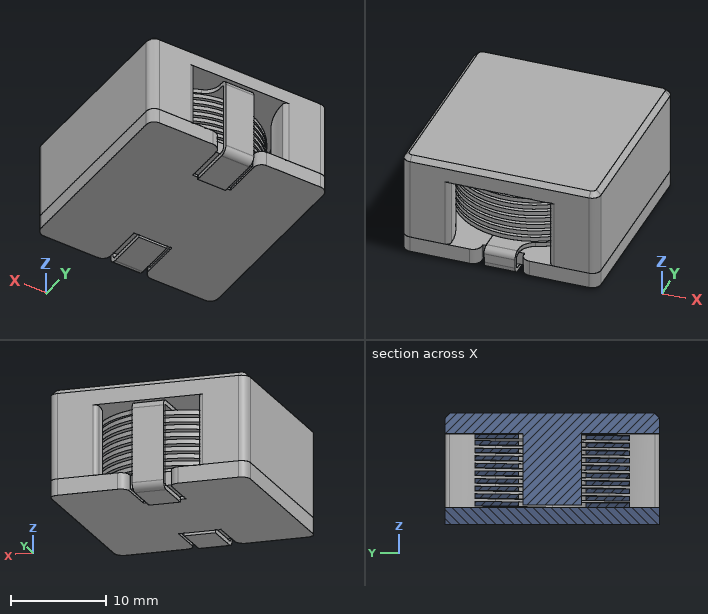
import cadquery as cq
import math

WIDTH = 22.0
DEPTH = 22.5
HEIGHT = 12.0
CORNER_RADIUS = 1.0
TOP_CHAMFER = 0.55

PLATE_BOTTOM = 0.3
PLATE_TOP = 2.1
NOTCH_WIDTH = 4.68
NOTCH_DEPTH = 1.25
NOTCH_EDGE_RADIUS = 1.0

CAVITY_TOP = 9.8
CAVITY_RADIUS = 9.4
POST_DIAMETER = 9.4
POST_GAP = 0.25
THROAT_WIDTH = 11.15
OPENING_EDGE_RADIUS = 0.5

COIL_INNER_RADIUS = 5.0
COIL_OUTER_RADIUS = 8.86
WIRE_THICKNESS = 0.5
HELIX_TURNS = 9
COIL_TOP = 9.76
LEAD_WIDTH = 3.46
LEAD_FILLET = 1.8
UPPER_BEND_RADIUS = 0.72
FOOT_BEND_RADIUS = 0.85
FOOT_LENGTH = 5.51
FOOT_CLEARANCE = 0.1

HALF_DEPTH = DEPTH / 2
FRONT_START = PLATE_TOP
BACK_START = COIL_TOP - WIRE_THICKNESS
PITCH = (BACK_START - FRONT_START) / HELIX_TURNS


def rounded_block(bottom, top):
    """Block over the full plan size, with rounded vertical corners."""
    block = cq.Workplane("XY", origin=(0, 0, bottom)).rect(WIDTH, DEPTH).extrude(top - bottom)
    return block.edges("|Z").fillet(CORNER_RADIUS)


def box_between(x_range, y_range, z_range):
    """Box from its lower and upper limits along each axis."""
    sizes = [high - low for low, high in (x_range, y_range, z_range)]
    return cq.Workplane("XY", origin=(x_range[0], y_range[0], z_range[0])).box(*sizes, centered=False)


def half_turned(shape):
    """The same shape turned half a turn about the Z axis."""
    return shape.rotate((0, 0, 0), (0, 0, 1), 180)


def point_on_circle(centre, radius, angle):
    """Point on a circle in the XY plane, at an angle in radians."""
    return (centre[0] + radius * math.cos(angle), centre[1] + radius * math.sin(angle))


def jamb_points():
    """Points of the wall at +X, -Y, from the front face inwards to the cavity circle.

    A small edge arc turns from the front face into a large throat arc, which is tangent
    to both the edge arc and the cavity circle.
    """
    throat_x = THROAT_WIDTH / 2
    edge_y = -HALF_DEPTH + OPENING_EDGE_RADIUS
    edge_centre = (throat_x + OPENING_EDGE_RADIUS, edge_y)
    throat_radius = (throat_x**2 + edge_y**2 - CAVITY_RADIUS**2) / (2 * (CAVITY_RADIUS - throat_x))
    throat_centre = (throat_x + throat_radius, edge_y)
    meet_angle = math.atan2(edge_y, throat_centre[0])
    return {
        "face": (edge_centre[0], -HALF_DEPTH),
        "edge_mid": point_on_circle(edge_centre, OPENING_EDGE_RADIUS, 1.25 * math.pi),
        "throat": (throat_x, edge_y),
        "throat_mid": point_on_circle(throat_centre, throat_radius, math.pi + meet_angle / 2),
        "cavity": point_on_circle((0, 0), CAVITY_RADIUS, meet_angle),
    }


def make_cavity():
    """Cavity outline: a circle that runs out through a rounded throat at each Y end."""
    front_right = jamb_points()
    back_right = {name: (x, -y) for name, (x, y) in front_right.items()}
    back_left = {name: (-x, -y) for name, (x, y) in front_right.items()}
    front_left = {name: (-x, y) for name, (x, y) in front_right.items()}

    outline = cq.Workplane("XY", origin=(0, 0, PLATE_TOP)).moveTo(*front_left["face"])
    sides = ((front_right, back_right, CAVITY_RADIUS), (back_left, front_left, -CAVITY_RADIUS))
    for start, end, cavity_x in sides:
        outline = outline.lineTo(*start["face"])
        outline = outline.threePointArc(start["edge_mid"], start["throat"])
        outline = outline.threePointArc(start["throat_mid"], start["cavity"])
        outline = outline.threePointArc((cavity_x, 0), end["cavity"])
        outline = outline.threePointArc(end["throat_mid"], end["throat"])
        outline = outline.threePointArc(end["edge_mid"], end["face"])
    return outline.close().extrude(CAVITY_TOP - PLATE_TOP)


def make_housing():
    """Upper core half: chamfered block with the winding cavity and the centre post."""
    block = rounded_block(PLATE_TOP, HEIGHT).faces(">Z").chamfer(TOP_CHAMFER)
    post_bottom = PLATE_TOP + POST_GAP
    post = cq.Workplane("XY", origin=(0, 0, post_bottom)).circle(POST_DIAMETER / 2)
    post = post.extrude(HEIGHT - TOP_CHAMFER - post_bottom)
    return block.cut(make_cavity()).union(post).solids()


def make_notch():
    """Notch at the -Y end of the base plate, plus the recess under it for the foot."""
    half = NOTCH_WIDTH / 2
    face_y = -HALF_DEPTH
    radius = NOTCH_EDGE_RADIUS
    edge_y = face_y + radius
    notch = (
        cq.Workplane("XY", origin=(0, 0, PLATE_BOTTOM))
        .moveTo(-half - radius, face_y)
        .radiusArc((-half, edge_y), -radius)
        .lineTo(-half, face_y + NOTCH_DEPTH)
        .lineTo(half, face_y + NOTCH_DEPTH)
        .lineTo(half, edge_y)
        .radiusArc((half + radius, face_y), -radius)
        .close()
        .extrude(PLATE_TOP - PLATE_BOTTOM)
    )
    recess_top = WIRE_THICKNESS + FOOT_CLEARANCE
    recess = box_between((-half, half), (face_y, face_y + FOOT_LENGTH), (PLATE_BOTTOM, recess_top))
    return notch.union(recess)


def make_base_plate():
    """Lower core half: flat plate with a notch and a foot recess at each Y end."""
    notch = make_notch()
    return rounded_block(PLATE_BOTTOM, PLATE_TOP).cut(notch).cut(half_turned(notch)).solids()


def make_terminal(lead_bottom):
    """Lead running out to -Y, bent down the outer face and back under as a foot."""
    half = LEAD_WIDTH / 2
    outer_y = -HALF_DEPTH
    strip = box_between((-half, half), (outer_y, -COIL_INNER_RADIUS / 2), (0, lead_bottom + WIRE_THICKNESS))
    strip = strip.edges("|X and >Z and <Y").fillet(UPPER_BEND_RADIUS)
    strip = strip.edges("|X and <Z and <Y").fillet(FOOT_BEND_RADIUS)

    inner_y = outer_y + WIRE_THICKNESS
    inside = box_between((-half, half), (inner_y, 0), (WIRE_THICKNESS, lead_bottom))
    inside = inside.edges("|X and >Z and <Y").fillet(UPPER_BEND_RADIUS - WIRE_THICKNESS)
    inside = inside.edges("|X and <Z and <Y").fillet(FOOT_BEND_RADIUS - WIRE_THICKNESS)
    behind_foot = box_between((-half, half), (outer_y + FOOT_LENGTH, 0), (0, lead_bottom))
    return strip.cut(inside).cut(behind_foot)


def make_lead_fillet(side):
    """Flat web that rounds the inner corner between the lead and the quarter turn, at +X or -X."""
    edge_x = LEAD_WIDTH / 2
    centre_x = edge_x + LEAD_FILLET
    centre_distance = COIL_OUTER_RADIUS + LEAD_FILLET
    centre_y = -math.sqrt(centre_distance**2 - centre_x**2)
    share = COIL_OUTER_RADIUS / centre_distance
    tangent = (side * centre_x * share, centre_y * share)
    web = cq.Workplane("XY").moveTo(0, centre_y).lineTo(side * edge_x, centre_y)
    web = web.radiusArc(tangent, side * LEAD_FILLET)
    return web.lineTo(0, tangent[1]).close().extrude(WIRE_THICKNESS)


def make_coil_end(lead_bottom, side):
    """Terminal at -Y with a flat quarter turn of wire that runs from it to +X or -X."""
    reach = side * COIL_OUTER_RADIUS
    quadrant = cq.Workplane("XY").rect(reach, -COIL_OUTER_RADIUS, centered=False).extrude(WIRE_THICKNESS)
    disc = cq.Workplane("XY").circle(COIL_OUTER_RADIUS).extrude(WIRE_THICKNESS)
    quarter = disc.intersect(quadrant)
    flat = quarter.union(make_lead_fillet(side)).translate((0, 0, lead_bottom))
    bore = cq.Workplane("XY", origin=(0, 0, lead_bottom)).circle(COIL_INNER_RADIUS).extrude(WIRE_THICKNESS)
    return flat.union(make_terminal(lead_bottom)).cut(bore)


def make_helix():
    """Rectangular wire wound upwards from the +X side, counterclockwise from above."""
    middle_radius = (COIL_INNER_RADIUS + COIL_OUTER_RADIUS) / 2
    path = cq.Wire.makeHelix(PITCH, HELIX_TURNS * PITCH, middle_radius)
    profile = cq.Workplane("XZ", origin=(middle_radius, 0, 0))
    profile = profile.rect(COIL_OUTER_RADIUS - COIL_INNER_RADIUS, WIRE_THICKNESS)
    helix = profile.sweep(cq.Workplane(path), isFrenet=True)
    return helix.translate((0, 0, FRONT_START + WIRE_THICKNESS / 2))


def make_coil():
    """Front terminal at the bottom of the helix, back terminal at its top."""
    front_end = make_coil_end(FRONT_START, 1)
    back_end = half_turned(make_coil_end(BACK_START, -1))
    return make_helix().union(front_end).union(back_end).solids()


housing = make_housing()
base_plate = make_base_plate()
coil = make_coil()

result = cq.Compound.makeCompound([housing.val(), base_plate.val(), coil.val()])